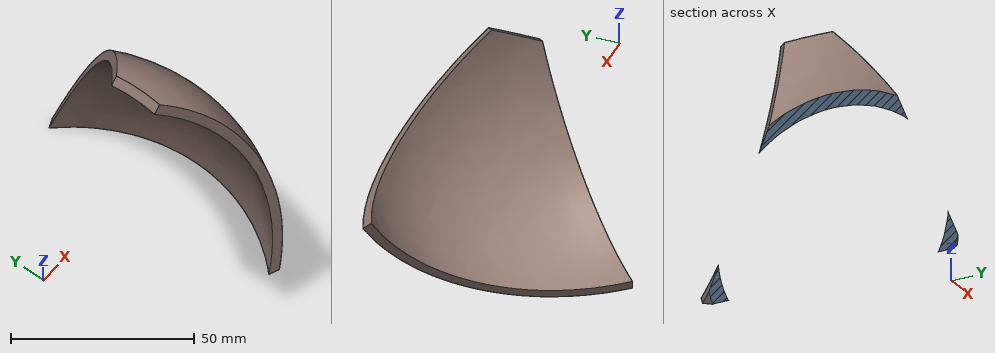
import cadquery as cq
import math

outer_length_radius = 70.0
outer_cross_radius = 63.0
wall_thickness = 3.0

base_drop = 15.0

sweep_tilt = 45.0
side_half_angle = 30.0
origin_half_width = 12.27
top_width = 15.0
trim_reach = 2 * outer_length_radius


def solid_ellipsoid(length_radius, cross_radius):
    quarter = (
        cq.Workplane("XY")
        .lineTo(length_radius, 0)
        .ellipseArc(length_radius, cross_radius, 0, 90, startAtCurrent=True)
        .close()
    )
    return quarter.revolve(360, (0, 0, 0), (1, 0, 0))


def half_shell():
    """The half of the shell on the +X side, closed by the YZ plane."""
    outer = solid_ellipsoid(outer_length_radius, outer_cross_radius)
    inner = solid_ellipsoid(
        outer_length_radius - wall_thickness,
        outer_cross_radius - wall_thickness,
    )
    return outer.cut(inner)


def tapered_prism():
    """Symmetric trapezoid swept both ways along the tilted direction."""
    tilt = math.radians(sweep_tilt)
    outline_plane = cq.Plane(
        origin=(0, 0, 0),
        xDir=(0, 1, 0),
        normal=(math.cos(tilt), 0, math.sin(tilt)),
    )
    taper = math.tan(math.radians(side_half_angle))
    top_half = top_width / 2
    bottom_half = origin_half_width + trim_reach * taper
    top_distance = (origin_half_width - top_half) / taper
    outline = [
        (-top_half, top_distance),
        (top_half, top_distance),
        (bottom_half, -trim_reach),
        (-bottom_half, -trim_reach),
    ]
    return cq.Workplane(outline_plane).polyline(outline).close().extrude(trim_reach, both=True)


def space_above_base():
    size = 2 * trim_reach
    return cq.Workplane("XY").workplane(offset=-base_drop).rect(size, size).extrude(size)


result = half_shell().intersect(tapered_prism()).intersect(space_above_base())